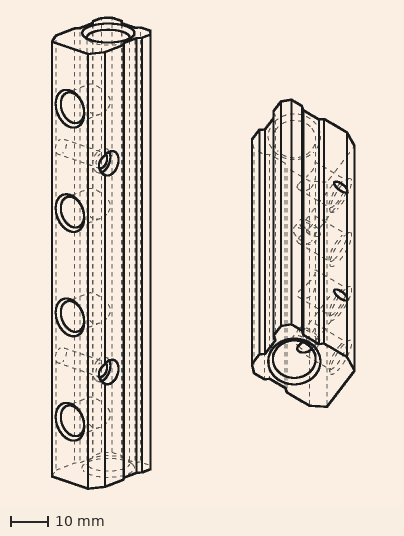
import cadquery as cq
import math

WIDTH = 18.0
DEPTH = 24.0
LENGTH = 125.0

BACK_BEVEL = 2.0
FRONT_BEVEL_Y = 4.04
FRONT_BEVEL_ANGLE = 30.0
FRONT_BEVEL_X = FRONT_BEVEL_Y * math.tan(math.radians(FRONT_BEVEL_ANGLE))

GROOVE_FLOOR = 5.0
SIDE_GROOVE_DEPTH = 0.9
SIDE_GROOVE_MOUTH = 7.2
BACK_GROOVE_DEPTH = 1.2
BACK_GROOVE_MOUTH = 6.8

BORE_DIAMETER = 11.445
BORE_MOUTH_DIAMETER = 14.0
BORE_Y = DEPTH / 2 - 9.0

PORT_DIAMETER = 8.566
PORT_MOUTH_DIAMETER = 10.5
PORT_COUNT = 4
PORT_PITCH = 30.0

MOUNT_DIAMETER = 4.3
MOUNT_HEAD_DIAMETER = 6.8
MOUNT_HEAD_DEPTH = 3.0
MOUNT_SPACING = 60.0
MOUNT_Y = -DEPTH / 2 + 6.0

HALF_WIDTH = WIDTH / 2
HALF_DEPTH = DEPTH / 2
HALF_LENGTH = LENGTH / 2


def make_body():
    """Extrude the bevelled and grooved cross-section, centred on the origin."""
    groove_x = HALF_WIDTH - SIDE_GROOVE_DEPTH
    right_half = [
        (HALF_WIDTH - FRONT_BEVEL_X, -HALF_DEPTH),
        (HALF_WIDTH, -HALF_DEPTH + FRONT_BEVEL_Y),
        (HALF_WIDTH, BORE_Y - SIDE_GROOVE_MOUTH / 2),
        (groove_x, BORE_Y - GROOVE_FLOOR / 2),
        (groove_x, BORE_Y + GROOVE_FLOOR / 2),
        (HALF_WIDTH, BORE_Y + SIDE_GROOVE_MOUTH / 2),
        (HALF_WIDTH, HALF_DEPTH - BACK_BEVEL),
        (HALF_WIDTH - BACK_BEVEL, HALF_DEPTH),
        (BACK_GROOVE_MOUTH / 2, HALF_DEPTH),
        (GROOVE_FLOOR / 2, HALF_DEPTH - BACK_GROOVE_DEPTH),
    ]
    left_half = [(-x, y) for x, y in reversed(right_half)]
    base = cq.Workplane("XY").workplane(offset=-HALF_LENGTH)
    return base.polyline(right_half + left_half).close().extrude(LENGTH)


def countersunk_hole(mouth, direction, depth, diameter, mouth_diameter):
    """Cutter for a round hole whose mouth opens with a 45 degree countersink."""
    start = cq.Vector(*mouth)
    axis = cq.Vector(*direction)
    sink_depth = (mouth_diameter - diameter) / 2
    hole = cq.Solid.makeCylinder(diameter / 2, depth, start, axis)
    sink = cq.Solid.makeCone(mouth_diameter / 2, diameter / 2, sink_depth, start, axis)
    return cq.Workplane(hole.fuse(sink))


def cut_main_bore(body):
    """Cut half the bore from each end; the halves meet at mid-length."""
    for end in (-1, 1):
        mouth = (0, BORE_Y, end * HALF_LENGTH)
        body = body.cut(
            countersunk_hole(mouth, (0, 0, -end), HALF_LENGTH, BORE_DIAMETER, BORE_MOUTH_DIAMETER)
        )
    return body


def cut_ports(body):
    """Cut the row of ports, each stopping at the bore axis."""
    port_depth = BORE_Y + HALF_DEPTH
    first_z = -PORT_PITCH * (PORT_COUNT - 1) / 2
    for index in range(PORT_COUNT):
        mouth = (0, -HALF_DEPTH, first_z + index * PORT_PITCH)
        body = body.cut(
            countersunk_hole(mouth, (0, 1, 0), port_depth, PORT_DIAMETER, PORT_MOUTH_DIAMETER)
        )
    return body


def cut_mounting_holes(body):
    """Cut the cross holes with their screw-head counterbores."""
    axis = cq.Vector(-1, 0, 0)
    for z in (-MOUNT_SPACING / 2, MOUNT_SPACING / 2):
        start = cq.Vector(HALF_WIDTH, MOUNT_Y, z)
        hole = cq.Solid.makeCylinder(MOUNT_DIAMETER / 2, WIDTH, start, axis)
        head = cq.Solid.makeCylinder(MOUNT_HEAD_DIAMETER / 2, MOUNT_HEAD_DEPTH, start, axis)
        body = body.cut(cq.Workplane(hole.fuse(head)))
    return body


result = cut_mounting_holes(cut_ports(cut_main_bore(make_body())))